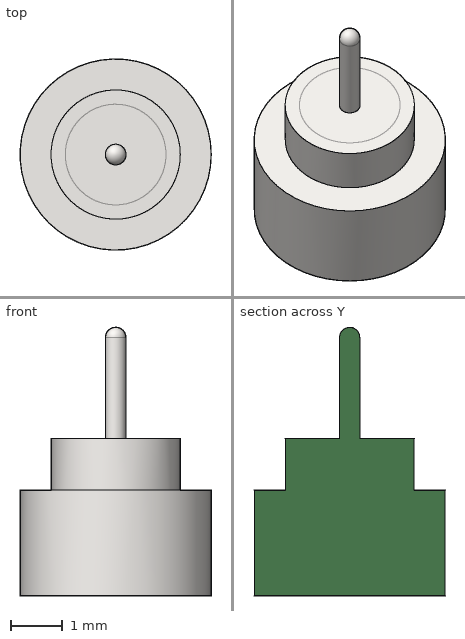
import cadquery as cq

total_height = 5.2
body_diameter = 3.7
body_height = 2.05
collar_diameter = 2.5
collar_height = 1.0
insert_diameter = 1.95
pin_diameter = 0.4

collar_top = body_height + collar_height
pin_radius = pin_diameter / 2
pin_height = total_height - collar_top


def cylinder(diameter, height, base_z):
    """Upright cylinder on the Z axis, starting at base_z."""
    return cq.Workplane("XY").workplane(offset=base_z).circle(diameter / 2).extrude(height)


body = cylinder(body_diameter, body_height, 0)

insert = cylinder(insert_diameter, collar_height, body_height)
collar = cylinder(collar_diameter, collar_height, body_height).cut(insert)

pin = cylinder(pin_diameter, pin_height - pin_radius, collar_top)
tip = cq.Workplane("XY").sphere(pin_radius).translate((0, 0, total_height - pin_radius))
pin = pin.union(tip)

result = body
for piece in (collar, insert, pin):
    result = result.union(piece, clean=False)